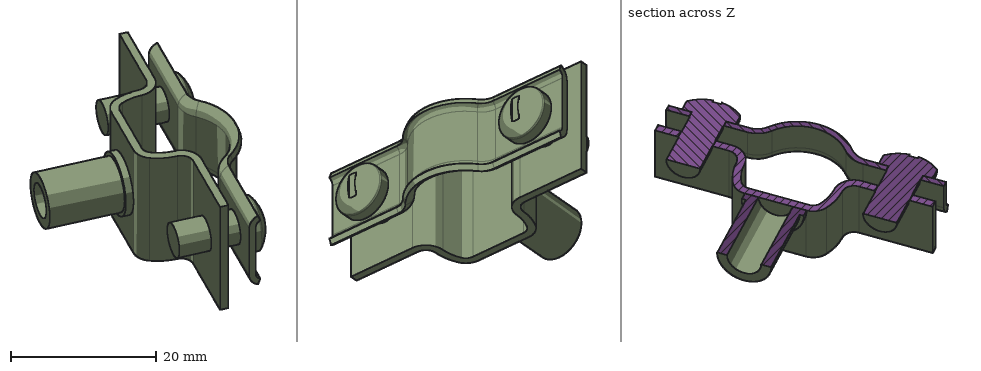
import cadquery as cq
import math


clamp_length = 41.0
half_length = clamp_length / 2
screw_x = 14.5

cradle_height = 18.0
cradle_thickness = 1.25
cradle_radius = 6.9
trough_half_width = 6.6
ear_bend_radius = 2.95
floor_bend_radius = 2.75
floor_depth = 5.2

strap_height = 12.0
strap_thickness = 1.0
strap_gap = 3.05
curl_radius = 2.0
curl_angle = math.radians(69)
arch_radius = 7.0
arch_rise = 4.05
strap_bend_radius = 4.0

shank_diameter = 5.0
shank_tip_y = -2.95
head_diameter = 8.0
head_rim_height = 1.7
head_height = 3.2
head_rim_fillet = 0.33
slot_width = 1.27
slot_depth = 0.33

socket_diameter = 8.0
socket_bore = 5.0
socket_length = 12.0
collar_diameter = 9.2
collar_thickness = 1.1

ear_face_y = ear_bend_radius
strap_face_y = ear_face_y + strap_gap
head_seat_y = strap_face_y + strap_thickness


def polar(centre, radius, angle):
    """Point at a radius and an angle (radians from +X) around a centre."""
    return (centre[0] + radius * math.cos(angle), centre[1] + radius * math.sin(angle))


def mirrored(point):
    """The same point on the other side of the YZ plane."""
    return (-point[0], point[1])


def y_cylinder(diameter, x, y_start, y_end):
    """Solid cylinder along Y between two Y positions, centred on Z = 0."""
    return (
        cq.Workplane("XZ", origin=(x, y_start, 0))
        .circle(diameter / 2)
        .extrude(y_start - y_end)
    )


def drill_screw_holes(body):
    """Cut the two holes that the screw shanks fill."""
    for x in (-screw_x, screw_x):
        body = body.cut(y_cylinder(shank_diameter, x, shank_tip_y, head_seat_y))
    return body


def make_cradle():
    """Sheet with two flat ears and a rounded trough between them."""
    side_radius = cradle_radius + cradle_thickness
    side_centre = (trough_half_width - cradle_radius, 0)
    ear_centre = (trough_half_width + ear_bend_radius, 0)
    floor_centre_y = floor_bend_radius - floor_depth
    centre_spacing_x = math.sqrt((side_radius - floor_bend_radius) ** 2 - floor_centre_y ** 2)
    floor_centre = (side_centre[0] + centre_spacing_x, floor_centre_y)
    side_end = math.atan2(floor_centre_y, centre_spacing_x)
    floor_middle = (side_end - math.pi / 2) / 2
    ear_middle = math.radians(135)

    def face_points(offset):
        """Right half of a sheet face, ear end first; offset 0 is the inner face, else the outer."""
        ear_radius = ear_bend_radius - offset
        trough_radius = cradle_radius + offset
        floor_radius = floor_bend_radius - cradle_thickness + offset
        return [
            (half_length, ear_face_y - offset),
            (ear_centre[0], ear_face_y - offset),
            polar(ear_centre, ear_radius, ear_middle),
            (trough_half_width + offset, 0),
            polar(side_centre, trough_radius, side_end / 2),
            polar(side_centre, trough_radius, side_end),
            polar(floor_centre, floor_radius, floor_middle),
            (floor_centre[0], floor_centre_y - floor_radius),
        ]

    def draw_face(sketch, points):
        """Draw one half from ear to floor, then its mirror image from floor to ear."""
        ear_end, ear, ear_mid, side, side_mid, side_low, floor_mid, floor = points
        return (
            sketch.lineTo(*ear)
            .threePointArc(ear_mid, side)
            .threePointArc(side_mid, side_low)
            .threePointArc(floor_mid, floor)
            .lineTo(*mirrored(floor))
            .threePointArc(mirrored(floor_mid), mirrored(side_low))
            .threePointArc(mirrored(side_mid), mirrored(side))
            .threePointArc(mirrored(ear_mid), mirrored(ear))
            .lineTo(*mirrored(ear_end))
        )

    inner = face_points(0)
    outer = face_points(cradle_thickness)
    sketch = draw_face(cq.Workplane("XY").moveTo(*inner[0]), inner)
    sketch = sketch.lineTo(*mirrored(outer[0]))
    outer_left_to_right = [mirrored(point) for point in outer]
    sketch = draw_face(sketch, outer_left_to_right).close()
    return drill_screw_holes(sketch.extrude(cradle_height / 2, both=True))


def make_strap():
    """Channel section swept along flat ends, two bends and a central arch."""
    arch_centre = (0, strap_face_y + arch_rise - arch_radius)
    bend_centre_y = strap_face_y + strap_bend_radius
    bend_offset_y = bend_centre_y - arch_centre[1]
    bend_centre_x = math.sqrt((arch_radius + strap_bend_radius) ** 2 - bend_offset_y ** 2)
    bend_centre = (bend_centre_x, bend_centre_y)
    arch_end_angle = math.atan2(bend_offset_y, bend_centre_x)
    arch_end = polar(arch_centre, arch_radius, arch_end_angle)
    bend_middle_angle = (arch_end_angle - math.pi - math.pi / 2) / 2
    bend_middle = polar(bend_centre, strap_bend_radius, bend_middle_angle)
    bend_start = (bend_centre_x, strap_face_y)
    path = (
        cq.Workplane("XY")
        .moveTo(-half_length, strap_face_y)
        .lineTo(*mirrored(bend_start))
        .threePointArc(mirrored(bend_middle), mirrored(arch_end))
        .threePointArc((0, strap_face_y + arch_rise), arch_end)
        .threePointArc(bend_middle, bend_start)
        .lineTo(half_length, strap_face_y)
    )

    curl_centre = (curl_radius, strap_height / 2 - curl_radius * math.sin(curl_angle))
    curl_inner_radius = curl_radius - strap_thickness

    def curl_point(radius, angle):
        """Point on the upper curl, at an angle turned from the web."""
        return polar(curl_centre, radius, math.pi - angle)

    def lowered(point):
        """The matching point on the lower curl."""
        return (point[0], -point[1])

    outer_root, outer_mid, outer_tip = [
        curl_point(curl_radius, angle) for angle in (0, curl_angle / 2, curl_angle)
    ]
    inner_root, inner_mid, inner_tip = [
        curl_point(curl_inner_radius, angle) for angle in (0, curl_angle / 2, curl_angle)
    ]
    section = (
        cq.Workplane("YZ", origin=(-half_length, strap_face_y, 0))
        .moveTo(*lowered(outer_root))
        .lineTo(*outer_root)
        .threePointArc(outer_mid, outer_tip)
        .lineTo(*inner_tip)
        .threePointArc(inner_mid, inner_root)
        .lineTo(*lowered(inner_root))
        .threePointArc(lowered(inner_mid), lowered(inner_tip))
        .lineTo(*lowered(outer_tip))
        .threePointArc(lowered(outer_mid), lowered(outer_root))
        .close()
    )
    return drill_screw_holes(section.sweep(path))


def make_screw(x):
    """Plain shank with a domed, slotted head seated on the strap."""
    head_radius = head_diameter / 2
    dome_rise = head_height - head_rim_height
    dome_radius = (head_radius ** 2 + dome_rise ** 2) / (2 * dome_rise)
    dome_centre = (0, head_height - dome_radius)
    rim_angle = math.atan2(head_rim_height - dome_centre[1], head_radius)
    head = (
        cq.Workplane("XY")
        .lineTo(head_radius, 0)
        .lineTo(head_radius, head_rim_height)
        .threePointArc(
            polar(dome_centre, dome_radius, (rim_angle + math.pi / 2) / 2),
            (0, head_height),
        )
        .close()
        .revolve(360, (0, 0), (0, 1))
        .edges(cq.selectors.NearestToPointSelector((0, head_rim_height, head_radius)))
        .fillet(head_rim_fillet)
    )
    slot = cq.Workplane("XY").box(slot_width, 2 * slot_depth, head_diameter)
    head = head.cut(slot.translate((0, head_height, 0)))
    shank = y_cylinder(shank_diameter, x, shank_tip_y, head_seat_y)
    return shank.union(head.translate((x, head_seat_y, 0)))


def make_socket():
    """Bored tube with a collar against the cradle floor."""
    base_y = -floor_depth
    tip_y = base_y - socket_length
    tube = y_cylinder(socket_diameter, 0, base_y, tip_y)
    collar = y_cylinder(collar_diameter, 0, base_y, base_y - collar_thickness)
    bore = y_cylinder(socket_bore, 0, base_y, tip_y)
    return tube.union(collar).cut(bore)


cradle = make_cradle()
strap = make_strap()
socket = make_socket()
screws = [make_screw(x) for x in (-screw_x, screw_x)]

result = cq.Compound.makeCompound(
    [cradle.val(), strap.val(), socket.val(), *[screw.val() for screw in screws]]
)